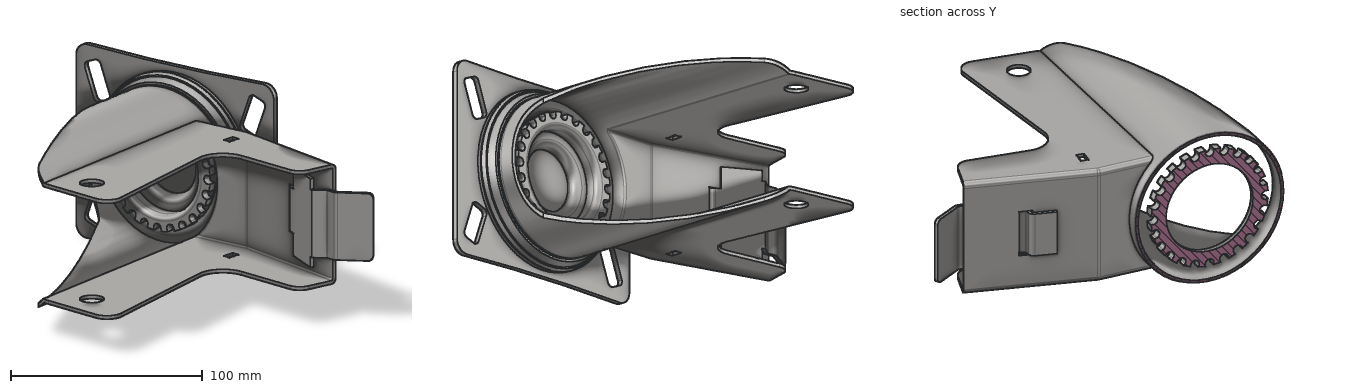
import cadquery as cq
import math


sheet = 2.0
bend_inner = 1.0
bend_outer = bend_inner + sheet

plate_thick = 3.0
plate_half_x = 64.1
plate_corner_half_z = 53.3
plate_waist_half_z = 52.0
plate_corner_radius = 7.0
slot_x = 50.5
slot_z = 34.3
slot_length = 22.0
slot_width = 11.0
slot_corner_radius = 2.8
slot_tilt = 20.4

barrel_radius = 43.3
barrel_top = -11.4
ceiling = barrel_top - sheet
collar_bore = 32.5
collar_bend = 4.7
collar_top = -6.5

hub_radius = 28.3
hub_face = -10.0
hub_bore = 16.7
hub_bore_round = 4.5
hub_bore_floor = -4.5

ring_radius = 34.0
ring_bore = 25.0
ring_bore_round = 3.2
ring_face = -18.2
flange_back = ceiling
tooth_count = 24
notch_width = 4.7
notch_root_radius = 30.2

seal_inner_radius = 40.7
seal_lip_radius = 48.7
seal_groove_radius = 47.6
seal_skirt_radius = 46.8
seal_bottom_radius = 44.8
seal_groove_start = -3.9
seal_groove_end = -4.5
seal_lip_y = -5.4
seal_shoulder_y = -8.0
seal_bottom = -12.2

leg_half_width = 32.7
web_top = -20.2
web_bend_x = 61.0
web_bend_radius = 6.5
web_end_x = 130.5
web_slope = math.tan(math.radians(14.4))
cavity_ridge_round = 0.97
mouth_y = -22.7
mouth_arc_mid = (-34.7, -25.5)
mouth_arc_end = (-28.3, -30.9)
leg_corners = [
    (22.0, -154.8, 16.0),
    (76.1, -161.5, 8.5),
    (65.6, -54.3, 14.0),
    (123.7, -61.3, 7.7),
]
axle_x = 48.3
axle_y = -140.3
axle_diameter = 12.7
window_x = 62.08
window_y = -37.3
window_width = 4.3
window_height = 7.0
window_tilt = -6.0
pedal_slot_start_x = 95.0
pedal_slot_end_x = 102.0
pedal_slot_half_width = 12.9

hook_half_width = 12.2
hook_start_x = 83.5
hook_gap = 1.0
riser_x = 96.7
pad_half_width = 24.2
pad_start = (100.68, -33.71)
pad_end_x = 119.98
pad_slope = math.tan(math.radians(29.5))
grip_half_width = 18.5
grip_valley_x = 121.0
grip_crest = (127.2, -40.64)
grip_dip = (133.07, -41.28)
grip_tip = (150.0, -31.3)
grip_corner_radius = 2.8

beyond_z = 64.3
beyond_y = -171.5
beyond_x = 171.5


def revolved(outline):
    """Solid of revolution about the Y axis from an open outline in the XY plane."""
    return outline.close().revolve(360, (0, 0, 0), (0, 1, 0))


def cylinder(radius, y_low, y_high):
    """Solid cylinder about the Y axis whose seam lies on the -X side."""
    top_plane = cq.Plane(origin=(0, y_high, 0), xDir=(-1, 0, 0), normal=(0, -1, 0))
    return cq.Workplane(top_plane).circle(radius).extrude(y_high - y_low)


def web_y(x):
    """Height of the web's upper face: level up to its bend, sloping down after it."""
    return web_top - max(0.0, x - web_bend_x) * web_slope


def pad_y(x):
    """Height of the pedal pad's middle plane."""
    return pad_start[1] - (x - pad_start[0]) * pad_slope


def nearest(x, y, z=0):
    return cq.selectors.NearestToPointSelector((x, y, z))


def make_plate_slot(side_x, side_z):
    return (
        cq.Workplane("XZ")
        .rect(slot_width, slot_length)
        .extrude(plate_thick)
        .edges("|Y")
        .fillet(slot_corner_radius)
        .rotate((0, 0, 0), (0, 1, 0), side_x * side_z * slot_tilt)
        .translate((side_x * slot_x, 0, side_z * slot_z))
    )


def make_hub():
    """Boss under the plate with a blind bore whose mouth is rounded."""
    hub = cylinder(hub_radius, hub_face, -plate_thick)
    hub = hub.cut(cylinder(hub_bore, hub_face, hub_bore_floor))
    bore_mouth = cq.selectors.RadiusNthSelector(0)
    return hub.faces("<Y").edges(bore_mouth).fillet(hub_bore_round)


def make_plate():
    """Plate with two slightly waisted long edges, four slanted slots and the hub."""
    plate = (
        cq.Workplane("XZ")
        .moveTo(-plate_half_x, -plate_corner_half_z)
        .threePointArc((0, -plate_waist_half_z), (plate_half_x, -plate_corner_half_z))
        .lineTo(plate_half_x, plate_corner_half_z)
        .threePointArc((0, plate_waist_half_z), (-plate_half_x, plate_corner_half_z))
        .close()
        .extrude(plate_thick)
        .edges("|Y")
        .fillet(plate_corner_radius)
    )
    for side_x in (-1, 1):
        for side_z in (-1, 1):
            plate = plate.cut(make_plate_slot(side_x, side_z))
    return plate.union(make_hub())


def make_seal():
    """Ring between the plate and the fork, stepped over the fork's rounded upper edge."""
    return revolved(
        cq.Workplane("XY")
        .moveTo(seal_inner_radius, -plate_thick)
        .lineTo(seal_lip_radius, -plate_thick)
        .lineTo(seal_groove_radius, seal_groove_start)
        .lineTo(seal_groove_radius, seal_groove_end)
        .lineTo(seal_lip_radius, seal_lip_y)
        .lineTo(seal_groove_radius, seal_shoulder_y)
        .lineTo(seal_skirt_radius, seal_shoulder_y)
        .lineTo(seal_bottom_radius, seal_bottom)
        .lineTo(barrel_radius, seal_bottom)
        .lineTo(barrel_radius, barrel_top)
        .lineTo(seal_inner_radius, barrel_top)
    )


def make_toothed_ring():
    ring = cylinder(ring_radius, ring_face, flange_back)
    ring = ring.union(cylinder(hub_radius, flange_back, hub_face))
    ring = ring.cut(cylinder(ring_bore, ring_face, hub_face))
    bore_mouth = cq.selectors.RadiusNthSelector(0)
    ring = ring.faces("<Y").edges(bore_mouth).fillet(ring_bore_round)
    notches = (
        cq.Workplane("XZ", origin=(0, flange_back, 0))
        .polarArray(ring_radius, 0, 360, tooth_count)
        .slot2D(2 * (ring_radius - notch_root_radius), notch_width)
        .extrude(flange_back - ring_face)
    )
    return ring.cut(notches)


def leg_block(inset, edge_round, bend_radius):
    """Prism between the outer leg faces and under the web, all moved inward by the inset."""
    half_width = leg_half_width - inset
    top = web_top - inset
    block = (
        cq.Workplane("XY")
        .lineTo(0, top)
        .lineTo(web_bend_x, top)
        .lineTo(beyond_x, web_y(beyond_x) - inset)
        .lineTo(beyond_x, beyond_y)
        .lineTo(0, beyond_y)
        .close()
        .extrude(half_width, both=True)
    )
    block = block.edges(nearest(web_bend_x, top)).fillet(bend_radius)
    for side in (-1, 1):
        block = block.edges(nearest(web_bend_x / 2, top, side * half_width)).fillet(edge_round)
    return block


def make_side_outline():
    """Prism across the whole fork with the outline of its side face."""
    outline = (
        cq.Workplane("XY")
        .moveTo(-barrel_radius, 0)
        .lineTo(-barrel_radius, mouth_y)
        .threePointArc(mouth_arc_mid, mouth_arc_end)
    )
    for x, y, _ in leg_corners:
        outline = outline.lineTo(x, y)
    outline = outline.lineTo(web_end_x, web_y(web_end_x)).lineTo(web_end_x, 0).close()
    prism = outline.extrude(beyond_z, both=True)
    for x, y, radius in leg_corners:
        prism = prism.edges(nearest(x, y)).fillet(radius)
    return prism


def make_collar():
    """Edge of the central opening, bent up from the ceiling into a short tube."""
    bend_x = collar_bore + collar_bend
    bend_y = ceiling + collar_bend
    diagonal = math.sqrt(0.5)
    lower = collar_bend * diagonal
    upper = (collar_bend - sheet) * diagonal
    return revolved(
        cq.Workplane("XY")
        .moveTo(bend_x, ceiling)
        .threePointArc((bend_x - lower, bend_y - lower), (collar_bore, bend_y))
        .lineTo(collar_bore, collar_top)
        .lineTo(collar_bore + sheet, collar_top)
        .lineTo(collar_bore + sheet, bend_y)
        .threePointArc((bend_x - upper, bend_y - upper), (bend_x, barrel_top))
    )


def make_fork():
    barrel = cylinder(barrel_radius, beyond_y, barrel_top).faces(">Y").edges().fillet(bend_outer)
    outer = barrel.union(leg_block(0, bend_outer, web_bend_radius))

    cavity_radius = barrel_radius - sheet
    cavity = cylinder(cavity_radius, beyond_y, ceiling)
    cavity = cavity.union(leg_block(sheet, bend_inner, web_bend_radius - sheet))
    ridge = nearest(cavity_radius, web_top - sheet)
    cavity = cavity.edges("%CIRCLE").edges(ridge).fillet(cavity_ridge_round)
    fork = outer.cut(cavity).intersect(make_side_outline())

    fork = fork.cut(cylinder(collar_bore + collar_bend, ceiling, barrel_top)).union(make_collar())

    axle_hole = cq.Workplane("XY").center(axle_x, axle_y).circle(axle_diameter / 2)
    fork = fork.cut(axle_hole.extrude(beyond_z, both=True))

    window = (
        cq.Workplane("XY")
        .rect(window_width, window_height)
        .extrude(beyond_z, both=True)
        .rotate((0, 0, 0), (0, 0, 1), window_tilt)
        .translate((window_x, window_y, 0))
    )
    fork = fork.cut(window)

    slot_floor = web_y(pedal_slot_end_x) - 2 * sheet
    pedal_slot = (
        cq.Workplane("XY")
        .moveTo(pedal_slot_start_x, slot_floor)
        .lineTo(pedal_slot_end_x, slot_floor)
        .lineTo(pedal_slot_end_x, web_top)
        .lineTo(pedal_slot_start_x, web_top)
        .close()
        .extrude(pedal_slot_half_width, both=True)
    )
    return fork.cut(pedal_slot)


def bent_strip(path, half_width, sharp_points=()):
    """Sheet strip along a bent centre line in XY; bends are rounded except at the sharp points."""
    headings = [math.atan2(y1 - y0, x1 - x0) for (x0, y0), (x1, y1) in zip(path, path[1:])]
    left_side = []
    right_side = []
    bends = []
    for (x, y), before, after in zip(path, headings[:1] + headings, headings + headings[-1:]):
        half_turn = (after - before) / 2
        across = before + half_turn + math.pi / 2
        reach = sheet / 2 / math.cos(half_turn)
        dx = reach * math.cos(across)
        dy = reach * math.sin(across)
        left_side.append((x + dx, y + dy))
        right_side.append((x - dx, y - dy))
        if (x, y) in sharp_points:
            continue
        if half_turn > 0:
            bends += [(left_side[-1], bend_inner), (right_side[-1], bend_outer)]
        elif half_turn < 0:
            bends += [(left_side[-1], bend_outer), (right_side[-1], bend_inner)]
    outline = cq.Workplane("XY").polyline(left_side + right_side[::-1]).close()
    strip = outline.extrude(half_width, both=True)
    for point, radius in bends:
        strip = strip.edges("|Z").edges(nearest(*point)).fillet(radius)
    return strip


def make_pedal():
    pad_end = (pad_end_x, pad_y(pad_end_x))
    pad = bent_strip([pad_start, pad_end], pad_half_width)

    lift = hook_gap + sheet / 2
    hook_path = [
        (hook_start_x, web_y(hook_start_x) + lift),
        (riser_x, web_y(riser_x) + lift),
        (riser_x, pad_y(riser_x)),
        pad_end,
    ]
    hook = bent_strip(hook_path, hook_half_width)

    grip_root_x = (pad_start[0] + pad_end_x) / 2
    grip_root = (grip_root_x, pad_y(grip_root_x))
    grip_valley = (grip_valley_x, pad_y(grip_valley_x))
    grip_path = [grip_root, grip_valley, grip_crest, grip_dip, grip_tip]
    grip = bent_strip(grip_path, grip_half_width, sharp_points=[grip_valley])
    for side in (-1, 1):
        tip_corner = nearest(grip_tip[0], grip_tip[1], side * grip_half_width)
        grip = grip.edges(tip_corner).fillet(grip_corner_radius)
    return hook.union(pad).union(grip)


plate = make_plate()
seal = make_seal()
fork = make_fork()
toothed_ring = make_toothed_ring()
pedal = make_pedal()

result = cq.Compound.makeCompound(
    [plate.val(), seal.val(), fork.val(), toothed_ring.val(), pedal.val()]
)